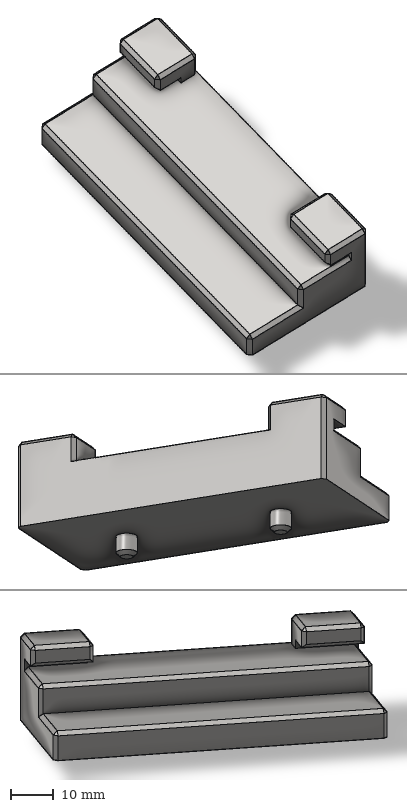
import cadquery as cq

length = 80
depth = 35.0
total_height = 26.0

pin_length = 5.0
body_height = total_height - pin_length
rise = body_height / 3
front_tread = 15.0
edge_chamfer = 1.0

hook_length = 15.0
post_depth = 5.0
arm_depth = 12
slot_height = 2.0

pin_diameter = 5.0
pin_spacing = 40

back = depth / 2
hook_offset = (length - hook_length) / 2


def back_block(size_x, size_y, bottom, top, center_x=0):
    """Plain block whose rear face lies on the back of the part."""
    return (
        cq.Workplane("XY", origin=(center_x, back - size_y / 2, bottom))
        .box(size_x, size_y, top - bottom, centered=(True, True, False))
    )


def step(step_depth, top):
    """Full-length step, chamfered at its corners and upper front and side edges."""
    block = back_block(length, step_depth, 0, top)
    return block.edges("|Z or (>Z and (not >Y))").chamfer(edge_chamfer)


def hook(center_x):
    """Post and overhanging arm with a slot between the arm and the upper step."""
    post = back_block(hook_length, post_depth, 0, body_height, center_x)
    post = post.edges("(|Z and >Y) or (>Z and (not <Y))").chamfer(edge_chamfer)

    arm_bottom = 2 * rise + slot_height
    arm = back_block(hook_length, arm_depth, arm_bottom, body_height, center_x)
    arm = arm.edges("|Z or >Z or (<Z and <Y)").chamfer(edge_chamfer)
    return post.union(arm)


def pin(center_x):
    """Round pin below the block with a chamfered tip."""
    cylinder = cq.Workplane("XY").center(center_x, 0).circle(pin_diameter / 2).extrude(-pin_length)
    return cylinder.faces("<Z").edges().chamfer(edge_chamfer)


result = step(depth, rise).union(step(depth - front_tread, 2 * rise))
for side in (-1, 1):
    result = result.union(hook(side * hook_offset))
    result = result.union(pin(side * pin_spacing / 2))